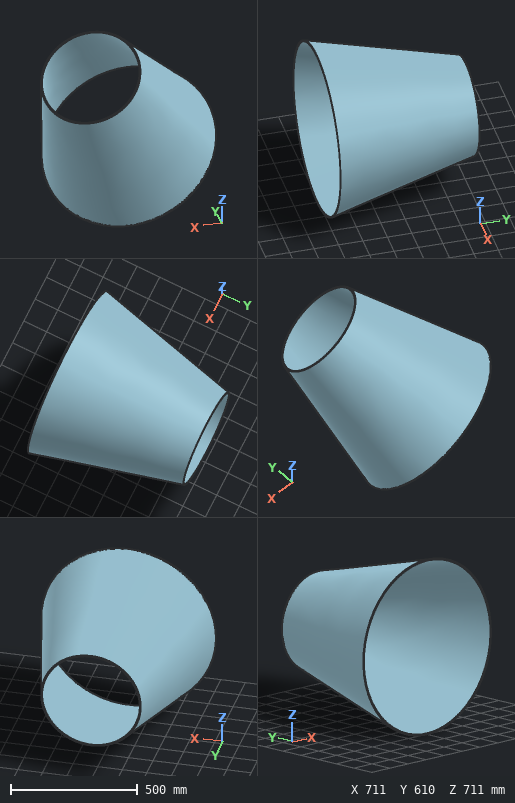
import cadquery as cq

large_diameter = 711.0
small_diameter = 407.0
length = 610.0
wall = 5.0

large_radius = large_diameter / 2
small_radius = small_diameter / 2


def cone_frustum(start_radius, end_radius):
    """Solid cone frustum running from the origin along +Y."""
    return cq.Workplane(
        cq.Solid.makeCone(start_radius, end_radius, length, cq.Vector(0, 0, 0), cq.Vector(0, 1, 0))
    )


outer_cone = cone_frustum(large_radius, small_radius)
bore = cone_frustum(large_radius - wall, small_radius - wall)

result = outer_cone.cut(bore)